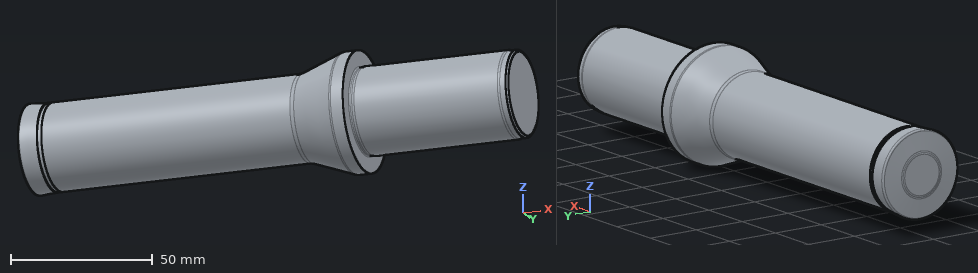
import math

import cadquery as cq

TOTAL_LENGTH = 186.0

SHANK_LENGTH = 60.0
SHANK_DIAMETER = 32.0
RELIEF_DIAMETER = 31.5
RELIEF_LENGTH = 1.0
RELIEF_TAPER_LENGTH = 1.0
RELIEF_FILLET = 0.4
TAIL_LENGTH = 3.0
TAIL_TAPER_LENGTH = 0.8
TAIL_CHAMFER = 0.8

FLANGE_DIAMETER = 44.0
FLANGE_LENGTH = 5.0
CONE_ANGLE = 20.0
CONE_ROOT_FILLET = 4.5
CONE_RIM_FILLET = 2.0

BODY_DIAMETER = 32.0

HEAD_LENGTH = 9.6
HEAD_EXPOSED_LENGTH = 8.0
FLANK_ANGLE = 4.0
FACE_ANGLE = 4.5
CORNER_RADIUS = 0.7
SKIRT_DIAMETER = 31.5
SPIGOT_DIAMETER = 28.5
SPIGOT_FRONT = 1.4

CENTRE_DIAMETER = 15.0
CENTRE_RIM_WIDTH = 1.2
CENTRE_HEIGHT = 0.2

body_radius = BODY_DIAMETER / 2
flange_radius = FLANGE_DIAMETER / 2
shank_radius = SHANK_DIAMETER / 2
relief_radius = RELIEF_DIAMETER / 2
skirt_radius = SKIRT_DIAMETER / 2
spigot_radius = SPIGOT_DIAMETER / 2
centre_radius = CENTRE_DIAMETER / 2

flange_back = TOTAL_LENGTH - SHANK_LENGTH
flange_front = flange_back - FLANGE_LENGTH
cone_length = (flange_radius - body_radius) / math.tan(math.radians(CONE_ANGLE))
cone_start = flange_front - cone_length
relief_end = flange_back + RELIEF_LENGTH
tail_start = TOTAL_LENGTH - TAIL_LENGTH

flank_slope = math.tan(math.radians(FLANK_ANGLE))
face_slope = math.tan(math.radians(FACE_ANGLE))


def flank_radius(x):
    """Radius of the head's tapered side, which equals the body's at the exposed length."""
    return body_radius + (HEAD_EXPOSED_LENGTH - x) * flank_slope


def revolve(profile):
    """Turn a closed profile, drawn as X against radius, about the X axis."""
    return profile.close().revolve(360, (0, 0, 0), (1, 0, 0))


def fillet_circle(solid, x, radius, fillet_radius):
    """Round the one circular edge that lies at the given X and radius."""
    margin = 0.05
    reach = radius + margin
    box = cq.selectors.BoxSelector(
        (x - margin, -reach, -reach), (x + margin, reach, reach), boundingbox=True
    )
    return solid.edges(box).edges(cq.selectors.RadiusNthSelector(-1)).fillet(fillet_radius)


def make_head():
    face_inner_radius = centre_radius + CENTRE_RIM_WIDTH
    rim_middle = (CENTRE_HEIGHT / 2, centre_radius + CENTRE_RIM_WIDTH / 2)
    corner_x = (CENTRE_HEIGHT + face_slope * (flank_radius(0) - face_inner_radius)) / (
        1 + face_slope * flank_slope
    )
    corner_radius = flank_radius(corner_x)
    head = revolve(
        cq.Workplane("XZ")
        .lineTo(0, centre_radius)
        .tangentArcPoint(rim_middle, relative=False)
        .tangentArcPoint((CENTRE_HEIGHT, face_inner_radius), relative=False)
        .lineTo(corner_x, corner_radius)
        .lineTo(HEAD_EXPOSED_LENGTH, body_radius)
        .lineTo(HEAD_EXPOSED_LENGTH, skirt_radius)
        .lineTo(HEAD_LENGTH, skirt_radius)
        .lineTo(HEAD_LENGTH, spigot_radius)
        .lineTo(SPIGOT_FRONT, spigot_radius)
        .lineTo(SPIGOT_FRONT, 0)
    )
    return fillet_circle(head, corner_x, corner_radius, CORNER_RADIUS)


def make_body():
    body = revolve(
        cq.Workplane("XZ")
        .moveTo(SPIGOT_FRONT, 0)
        .lineTo(SPIGOT_FRONT, spigot_radius)
        .lineTo(HEAD_LENGTH, spigot_radius)
        .lineTo(HEAD_LENGTH, skirt_radius)
        .lineTo(HEAD_EXPOSED_LENGTH, skirt_radius)
        .lineTo(HEAD_EXPOSED_LENGTH, body_radius)
        .lineTo(cone_start, body_radius)
        .lineTo(flange_front, flange_radius)
        .lineTo(flange_back, flange_radius)
        .lineTo(flange_back, relief_radius)
        .lineTo(relief_end, relief_radius)
        .lineTo(relief_end + RELIEF_TAPER_LENGTH, shank_radius)
        .lineTo(tail_start - TAIL_TAPER_LENGTH, shank_radius)
        .lineTo(tail_start, relief_radius)
        .lineTo(TOTAL_LENGTH - TAIL_CHAMFER, relief_radius)
        .lineTo(TOTAL_LENGTH, relief_radius - TAIL_CHAMFER)
        .lineTo(TOTAL_LENGTH, 0)
    )
    body = fillet_circle(body, cone_start, body_radius, CONE_ROOT_FILLET)
    body = fillet_circle(body, flange_front, flange_radius, CONE_RIM_FILLET)
    return fillet_circle(body, flange_back, relief_radius, RELIEF_FILLET)


head = make_head()
body = make_body()

result = cq.Compound.makeCompound([head.val(), body.val()])